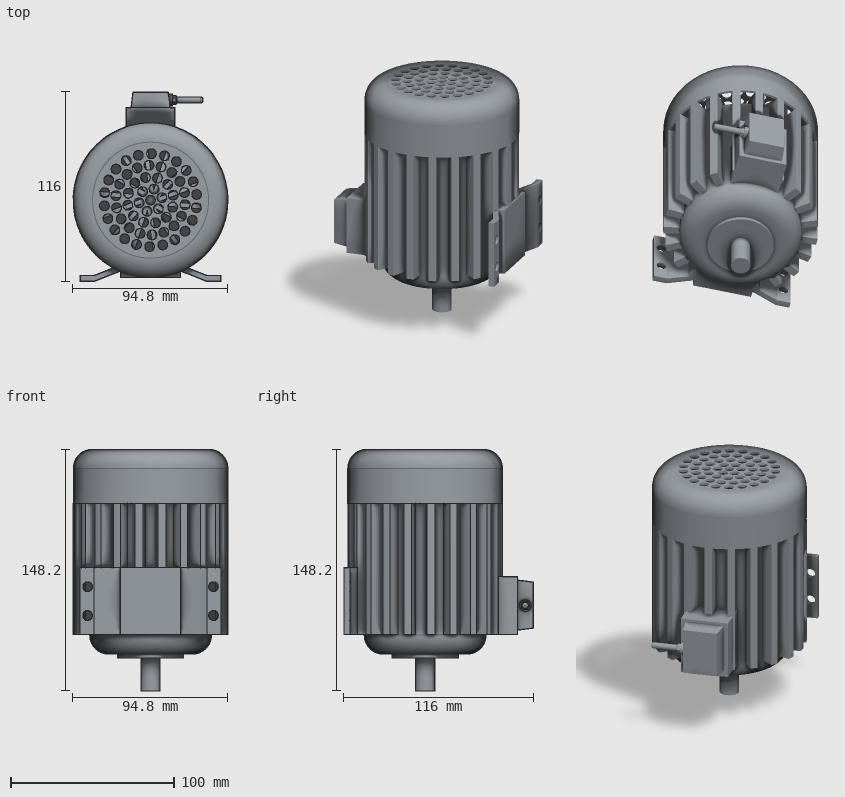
import cadquery as cq
import math

shaft_length = 20.3
flange_depth = 2.4
bell_depth = 12.0
fin_length = 80.3
total_height = 148.2

flange_z = shaft_length
bell_z = flange_z + flange_depth
frame_z = bell_z + bell_depth
frame_top = frame_z + fin_length
cover_height = total_height - frame_top

outer_radius = 47.4
core_radius = 37.3
fin_count = 21
first_fin_angle = 90
fin_thickness = 4.7
bell_round = 11.9
flange_radius = 20.3
shaft_radius = 6.0

feet_height = 41.0
foot_block_half = 18.4
foot_end_x = 43.1
foot_bend_x = 34.5
foot_plate = 3.7
foot_bottom_y = -49.8
foot_root_y = -43.4
foot_hole_radius = 3.0
foot_hole_x = 38.5
foot_hole_heights = (11.7, 29.3)

box_width = 30.0
box_height = 35.5
box_face_y = 56.6
box_middle_z = frame_z + box_height / 2
lid_base_width = 24.0
lid_base_height = 30.7
lid_depth = 9.6
lid_taper = 7
lid_rise = 0.3
cable_y = 61.3
washer_radius = 3.5
washer_end_x = 13.3
nut_flats = 4.7
nut_end_x = 15.5
cone_end_x = 16.2
cable_radius = 2.0
cable_end_x = 32.2
cable_round = 1.5

cover_wall = 1.5
cover_round = 11.9
vent_radius = 3.0
vent_ring_pitch = 7.1
vent_ring_counts = (6, 12, 18, 22)
start_angle = 72.5

blade_count = 14
blade_thickness = 2.8
fan_radius = 38.5
fan_height = 26.2
fan_flat_radius = 15.5
fan_round = 28.2
hub_radius = 6.0


def cylinder_z(radius, bottom, height):
    """Upright round bar."""
    return cq.Workplane("XY").workplane(offset=bottom).circle(radius).extrude(height)


def cylinder_x(radius, x_start, x_end):
    """Round length of the cable, along X."""
    start = cq.Workplane("YZ", origin=(x_start, cable_y, box_middle_z))
    return start.circle(radius).extrude(x_end - x_start)


def make_finned_frame():
    """Round core with radial fins trimmed to the round outer surface of the frame."""
    frame = cylinder_z(core_radius, frame_z, fin_length)
    for i in range(fin_count):
        fin = (
            cq.Workplane("XY", origin=(0, 0, frame_z))
            .transformed(rotate=(0, 0, first_fin_angle + i * 360 / fin_count))
            .center(outer_radius, 0)
            .rect(2 * outer_radius, fin_thickness)
            .extrude(fin_length)
        )
        frame = frame.union(fin)
    return frame.intersect(cylinder_z(outer_radius, frame_z, fin_length))


def make_drive_end():
    """Rounded end bell with its flange and the output shaft."""
    bell = cylinder_z(core_radius, bell_z, bell_depth).faces("<Z").edges().fillet(bell_round)
    flange = cylinder_z(flange_radius, flange_z, flange_depth)
    shaft = cylinder_z(shaft_radius, 0, shaft_length)
    return bell.union(flange).union(shaft)


def make_foot_bracket():
    """Block under the frame with one cranked foot on each side."""
    bracket = (
        cq.Workplane("XY", origin=(0, -outer_radius / 2, frame_z))
        .rect(2 * foot_block_half, outer_radius)
        .extrude(feet_height)
    )
    plate_top_y = foot_bottom_y + foot_plate
    for side in (-1, 1):
        foot = (
            cq.Workplane("XY", origin=(0, 0, frame_z))
            .moveTo(side * foot_block_half, foot_root_y)
            .lineTo(side * foot_bend_x, foot_bottom_y)
            .lineTo(side * foot_end_x, foot_bottom_y)
            .lineTo(side * foot_end_x, plate_top_y)
            .lineTo(side * foot_bend_x, plate_top_y)
            .lineTo(side * foot_block_half, foot_root_y + foot_plate)
            .close()
            .extrude(feet_height)
        )
        for height in foot_hole_heights:
            hole = (
                cq.Workplane("XZ", origin=(side * foot_hole_x, plate_top_y, frame_z + height))
                .circle(foot_hole_radius)
                .extrude(foot_plate)
            )
            foot = foot.cut(hole)
        bracket = bracket.union(foot)
    return bracket


def make_terminal_box():
    """Box on the side of the frame with a tapered lid."""
    box = (
        cq.Workplane("XZ", origin=(0, box_face_y, box_middle_z))
        .rect(box_width, box_height)
        .extrude(box_face_y)
    )
    lid = (
        cq.Workplane("XZ", origin=(0, box_face_y, box_middle_z + lid_rise))
        .rect(lid_base_width, lid_base_height)
        .extrude(-lid_depth, taper=lid_taper)
    )
    return box.union(lid)


def make_cable():
    """Cable leaving the lid sideways through a washer, a hexagonal nut and a short cone."""
    washer = cylinder_x(washer_radius, 0, washer_end_x)
    nut = (
        cq.Workplane("YZ", origin=(washer_end_x, cable_y, box_middle_z))
        .transformed(rotate=(0, 0, 90))
        .polygon(6, nut_flats, circumscribed=True)
        .extrude(nut_end_x - washer_end_x)
    )
    cone = (
        cq.Workplane("YZ", origin=(nut_end_x, cable_y, box_middle_z))
        .circle(nut_flats / 2)
        .workplane(offset=cone_end_x - nut_end_x)
        .circle(cable_radius)
        .loft()
    )
    cable = cylinder_x(cable_radius, cone_end_x, cable_end_x).faces(">X").edges().fillet(cable_round)
    return washer.union(nut).union(cone).union(cable)


def make_motor():
    """Frame, drive end, feet, terminal box and cable as one solid."""
    motor = make_finned_frame()
    for part in (make_drive_end(), make_foot_bracket(), make_terminal_box(), make_cable()):
        motor = motor.union(part)
    return motor


def make_fan_cover():
    """Thin rounded cap, open below, with rings of round vents through its top."""
    outside = cylinder_z(outer_radius, frame_top, cover_height).faces(">Z").edges().fillet(cover_round)
    inside = (
        cylinder_z(outer_radius - cover_wall, frame_top, cover_height - cover_wall)
        .faces(">Z")
        .edges()
        .fillet(cover_round - cover_wall)
    )
    vent_z = total_height - cover_wall
    cover = outside.cut(inside).cut(cylinder_z(vent_radius, vent_z, cover_wall))
    for ring, count in enumerate(vent_ring_counts, start=1):
        vents = (
            cq.Workplane("XY", origin=(0, 0, vent_z))
            .polarArray(ring * vent_ring_pitch, start_angle, 360, count)
            .circle(vent_radius)
            .extrude(cover_wall)
        )
        cover = cover.cut(vents)
    return cover


def fan_drop(radius):
    """Fall of the rounded fan top below its flat middle at a given radius."""
    return fan_round - math.sqrt(fan_round**2 - (radius - fan_flat_radius) ** 2)


def make_fan():
    """Radial blades on a hub; one side of each blade lies on a radial plane."""
    fan = cylinder_z(hub_radius, frame_top, fan_height)
    for i in range(blade_count):
        blade = (
            cq.Workplane("XY", origin=(0, 0, frame_top))
            .transformed(rotate=(0, 0, start_angle + i * 360 / blade_count))
            .center(fan_radius / 2, -blade_thickness / 2)
            .rect(fan_radius, blade_thickness)
            .extrude(fan_height)
        )
        fan = fan.union(blade)

    fan_top = frame_top + fan_height
    middle_radius = (fan_flat_radius + fan_radius) / 2
    envelope = (
        cq.Workplane("XZ")
        .moveTo(0, frame_top)
        .lineTo(fan_radius, frame_top)
        .lineTo(fan_radius, fan_top - fan_drop(fan_radius))
        .threePointArc((middle_radius, fan_top - fan_drop(middle_radius)), (fan_flat_radius, fan_top))
        .lineTo(0, fan_top)
        .close()
        .revolve(360, (0, 0), (0, 1))
    )
    return fan.intersect(envelope)


motor = make_motor()
fan_cover = make_fan_cover()
fan = make_fan()

result = cq.Compound.makeCompound([motor.val(), fan_cover.val(), fan.val()])